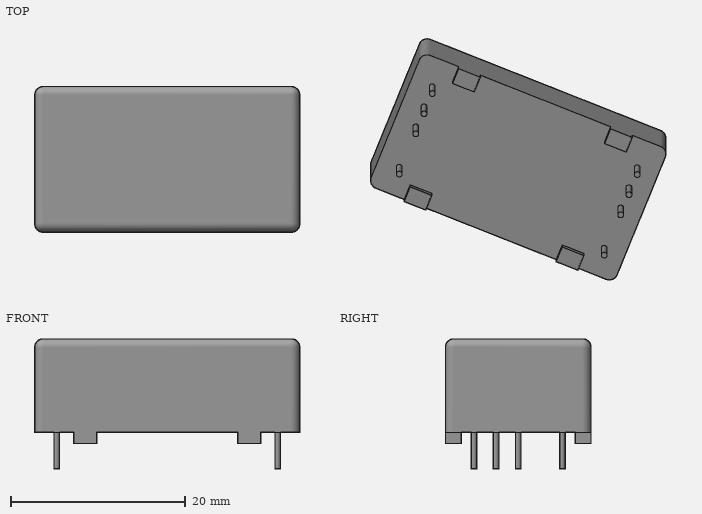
import cadquery as cq

case_length = 30.48
case_width = 16.75
overall_height = 14.97
pin_length = 4.2
case_height = overall_height - pin_length
edge_radius = 0.98

pin_diameter = 0.67
pin_row_spacing = 25.4
pin_pitch = pin_row_spacing / 10
pin_positions = (-2, -1, 0, 2)

foot_length = 2.68
foot_width = 1.85
foot_height = 1.28
foot_spacing = 18.85


def make_case():
    """Block standing on Z = 0 with rounded vertical and top edges."""
    block = cq.Workplane("XY").box(case_length, case_width, case_height, centered=(True, True, False))
    return block.edges("|Z or >Z").fillet(edge_radius)


def make_pins():
    """Both rows of round pins hanging below the case."""
    centres = [
        (side * pin_row_spacing / 2, position * pin_pitch)
        for side in (-1, 1)
        for position in pin_positions
    ]
    return cq.Workplane("XY").pushPoints(centres).circle(pin_diameter / 2).extrude(-pin_length)


def make_feet():
    """Four rectangular feet below the case."""
    foot_row_spacing = case_width - foot_width
    return (
        cq.Workplane("XY")
        .rarray(foot_spacing, foot_row_spacing, 2, 2)
        .rect(foot_length, foot_width)
        .extrude(-foot_height)
    )


result = make_case().union(make_pins()).union(make_feet())